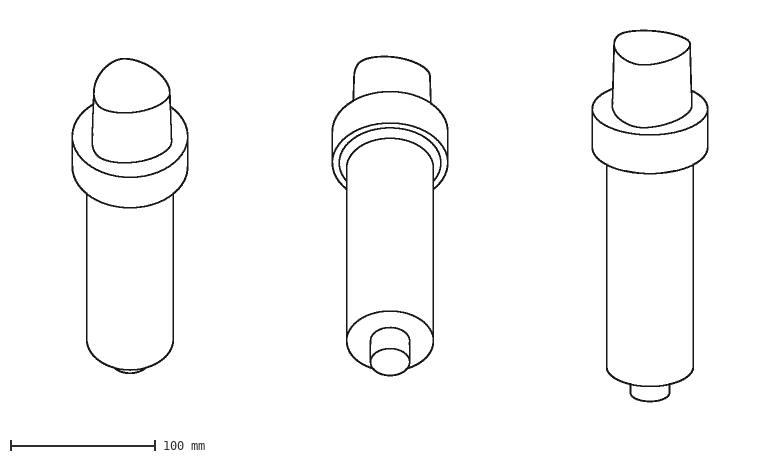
import cadquery as cq
import math

total_length = 268.0
pin_length = 20.0
body_length = 164.8
cone_length = 5.0
flange_length = 30.0
shank_length = total_length - pin_length - body_length - cone_length - flange_length

pin_diameter = 27.0
body_diameter = 60.0
flange_diameter = 79.9

shank_base_width = 55.0
shank_taper = 1 / 20
lobe_eccentricity = 2.0
curve_points = 48

body_bottom = pin_length
body_top = body_bottom + body_length
flange_bottom = body_top + cone_length
flange_top = flange_bottom + flange_length


def turned_body():
    """Pin, cylindrical body, 45 degree cone and flange, revolved about Z."""
    pin_radius = pin_diameter / 2
    body_radius = body_diameter / 2
    flange_radius = flange_diameter / 2
    cone_top_radius = body_radius + cone_length
    profile = [
        (0, 0),
        (pin_radius, 0),
        (pin_radius, body_bottom),
        (body_radius, body_bottom),
        (body_radius, body_top),
        (cone_top_radius, flange_bottom),
        (flange_radius, flange_bottom),
        (flange_radius, flange_top),
        (0, flange_top),
    ]
    return cq.Workplane("XZ").polyline(profile).close().revolve(360, (0, 0), (0, 1))


def lobed_point(width, angle):
    """Point on a constant-width, three-lobed curve with one lobe toward -Y."""
    radius = width / 2
    e = lobe_eccentricity
    x = radius * math.sin(angle) + 2 * e * math.sin(2 * angle) + e * math.sin(4 * angle)
    y = radius * math.cos(angle) - 2 * e * math.cos(2 * angle) + e * math.cos(4 * angle)
    return x, y


def lobed_outline(width):
    """Sample one full turn of the lobed curve."""
    step = 2 * math.pi / curve_points
    return [lobed_point(width, i * step) for i in range(curve_points)]


def tapered_shank():
    """Lobed shank standing on the flange and narrowing toward its top."""
    top_width = shank_base_width - shank_taper * shank_length
    return (
        cq.Workplane("XY", origin=(0, 0, flange_top))
        .spline(lobed_outline(shank_base_width), periodic=True)
        .close()
        .workplane(offset=shank_length)
        .spline(lobed_outline(top_width), periodic=True)
        .close()
        .loft(combine=True)
    )


result = turned_body().union(tapered_shank())